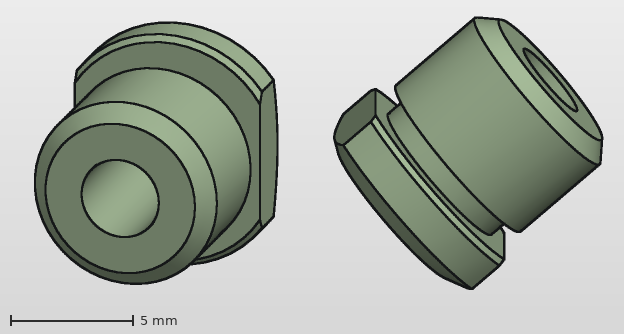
import cadquery as cq

body_length = 5.0
groove_length = 1.0
head_length = 2.5

head_diameter = 9.96
body_diameter = 7.87
groove_diameter = 6.5
bore_diameter = 3.34
head_width = 8.0

nose_chamfer = 0.71
head_front_chamfer = 0.26
head_back_bevel_length = 0.75
head_back_bevel_depth = 1.47

head_radius = head_diameter / 2
body_radius = body_diameter / 2
groove_radius = groove_diameter / 2
head_front = body_length + groove_length
total_length = head_front + head_length


def make_turned_blank():
    """Revolve the half profile (radius, Y) about the Y axis."""
    return (
        cq.Workplane("XY")
        .moveTo(0, 0)
        .lineTo(body_radius - nose_chamfer, 0)
        .lineTo(body_radius, nose_chamfer)
        .lineTo(body_radius, body_length)
        .lineTo(groove_radius, body_length)
        .lineTo(groove_radius, head_front)
        .lineTo(head_radius - head_front_chamfer, head_front)
        .lineTo(head_radius, head_front + head_front_chamfer)
        .lineTo(head_radius, total_length - head_back_bevel_length)
        .lineTo(head_radius - head_back_bevel_depth, total_length)
        .lineTo(0, total_length)
        .close()
        .revolve(360, (0, 0, 0), (0, 1, 0))
    )


def cut_head_flats(blank):
    """Trim the head to its width across flats; the body is narrower and stays round."""
    envelope = cq.Workplane("XY").box(
        head_width, total_length, head_diameter, centered=(True, False, True)
    )
    return blank.intersect(envelope)


def cut_bore(blank):
    """Cut the central through bore along Y."""
    bore = cq.Workplane("XZ").circle(bore_diameter / 2).extrude(-total_length)
    return blank.cut(bore)


result = cut_bore(cut_head_flats(make_turned_blank()))